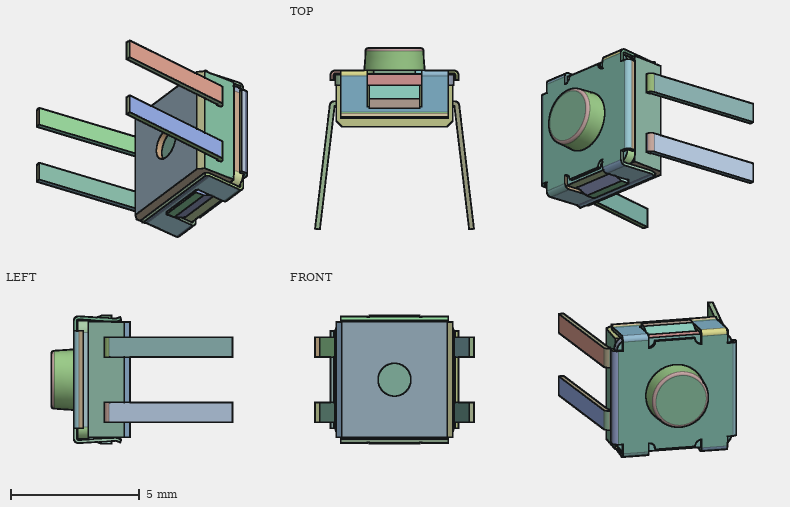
import cadquery as cq
import math


BASE_X = 4.55
BASE_Z = 4.5
BASE_HEIGHT = 1.62
BASE_CHAMFER = 0.225
RIM_SIZE = 4.62
RIM_TOP = 2.04
RIM_CORNER_RADIUS = 0.47

RECESS_DIAMETER = 1.28
RECESS_DEPTH = 0.26

BUTTON_TOP = 3.07
BUTTON_TOP_RADIUS = 1.125
BUTTON_EDGE_ROUND = 0.12
BUTTON_DRAFT = 4.0

COVER_TOP = 2.2
COVER_THICKNESS = 0.13
COVER_BEND_RADIUS = 0.2
COVER_X = 5.0
SIDE_FLANGE_WIDTH = 3.8
SIDE_FLANGE_BOTTOM = 1.82
CLIP_SPAN = 4.95
CLIP_WIDTH = 4.2
CLIP_LEAN = 3.6
CLIP_LEG_LENGTH = 1.415
LIP_FLARE = 20
LIP_BEND_RADIUS = 0.12
LIP_LENGTH = 0.155

WINDOW_WIDTH = 2.12
WINDOW_BOTTOM = 0.78
NOTCH_FLOOR = 2.2
RELIEF_RADIUS = 0.26

WEDGE_WIDTH = 1.97
WEDGE_SPAN = 5.0
WEDGE_CREST = 1.1
WEDGE_BOTTOM = 0.72

LEG_SPAN = 6.2
LEG_TIP = -4.0
LEG_PITCH = 2.54
LEG_WIDTH = 0.78
LEG_THICKNESS = 0.2
LEG_TOP = 1.0
LEG_SPLAY = 6.8


SHARP_BEND = 1e-6


def point_at(center, reach, angle):
    return center[0] + reach * math.cos(angle), center[1] + reach * math.sin(angle)


def strip_outline(plane, start, thickness, steps):
    """Outline of a bent strip that starts at `start`, heading along the plane's first axis.

    The walk follows the strip's outer face. Each step is (length, turn, radius): a straight
    run, then a bend of `turn` degrees (positive turns away from the outer face) with the
    given outer-face radius.
    """
    u, v = start
    heading = 0.0
    outer = [("start", (u, v))]
    inner = [("start", (u, v - thickness))]

    for length, turn, radius in steps:
        u, v = point_at((u, v), length, heading)
        normal = heading + math.pi / 2
        outer.append(("line", (u, v)))
        inner.append(("line", point_at((u, v), -thickness, normal)))
        if turn == 0:
            continue
        outer_reach = math.copysign(radius, turn)
        inner_reach = outer_reach - thickness
        center = point_at((u, v), -outer_reach, normal)
        sweep = math.radians(turn)
        angles = [normal - sweep / 2, normal - sweep]
        outer.append(("arc", *[point_at(center, outer_reach, angle) for angle in angles]))
        if abs(inner_reach) > SHARP_BEND:
            inner.append(("arc", *[point_at(center, inner_reach, angle) for angle in angles]))
        u, v = outer[-1][-1]
        heading -= sweep

    sketch = cq.Workplane(plane).moveTo(*start)
    for kind, *points in outer[1:]:
        sketch = sketch.lineTo(*points[0]) if kind == "line" else sketch.threePointArc(*points)
    sketch = sketch.lineTo(*inner[-1][-1])
    for index in range(len(inner) - 1, 0, -1):
        kind, *points = inner[index]
        before = inner[index - 1][-1]
        sketch = sketch.lineTo(*before) if kind == "line" else sketch.threePointArc(points[0], before)
    return sketch.close()


SIDE_PLANE = cq.Plane(origin=(0, 0, 0), xDir=(1, 0, 0), normal=(0, 0, 1))
CLIP_PLANE = cq.Plane(origin=(0, 0, 0), xDir=(0, 0, 1), normal=(-1, 0, 0))


def slab(x_size, z_size, y_low, y_high):
    height = y_high - y_low
    return cq.Workplane("XY").box(x_size, height, z_size).translate((0, y_low + height / 2, 0))


def y_cylinder(diameter, y_low, y_high):
    return cq.Workplane("XZ", origin=(0, y_low, 0)).circle(diameter / 2).extrude(y_low - y_high)


def both_sides(half, mirror_plane):
    return half.union(half.mirror(mirror_plane))


def make_base():
    lower = slab(BASE_X, BASE_Z, 0, BASE_HEIGHT).faces("<Y").edges("|Z").chamfer(BASE_CHAMFER)
    rim = slab(RIM_SIZE, RIM_SIZE, BASE_HEIGHT, RIM_TOP).edges("|Y").fillet(RIM_CORNER_RADIUS)
    return lower.union(rim).cut(y_cylinder(RECESS_DIAMETER, 0, RECESS_DEPTH))


def make_wedges():
    wedge = (
        cq.Workplane(CLIP_PLANE)
        .moveTo(0, BASE_HEIGHT)
        .lineTo(RIM_SIZE / 2, BASE_HEIGHT)
        .lineTo(WEDGE_SPAN / 2, WEDGE_CREST)
        .lineTo(WEDGE_SPAN / 2, WEDGE_BOTTOM)
        .lineTo(0, WEDGE_BOTTOM)
        .close()
        .extrude(WEDGE_WIDTH / 2, both=True)
    )
    return both_sides(wedge, "XY")


def make_button():
    taper = math.tan(math.radians(BUTTON_DRAFT))
    foot_radius = BUTTON_TOP_RADIUS + (BUTTON_TOP - BASE_HEIGHT) * taper
    button = (
        cq.Workplane(CLIP_PLANE)
        .moveTo(0, BASE_HEIGHT)
        .lineTo(foot_radius, BASE_HEIGHT)
        .lineTo(BUTTON_TOP_RADIUS, BUTTON_TOP)
        .lineTo(0, BUTTON_TOP)
        .close()
        .revolve(360, (0, 0, 0), (0, 1, 0))
    )
    return button.faces(">Y").edges().fillet(BUTTON_EDGE_ROUND)


def make_side_flanges():
    plate_run = COVER_X / 2 - COVER_BEND_RADIUS
    drop = COVER_TOP - COVER_BEND_RADIUS - SIDE_FLANGE_BOTTOM
    steps = [(plate_run, 90, COVER_BEND_RADIUS), (drop, 0, 0)]
    flange = strip_outline(SIDE_PLANE, (0, COVER_TOP), COVER_THICKNESS, steps)
    return both_sides(flange.extrude(SIDE_FLANGE_WIDTH / 2, both=True), "YZ")


def make_clips():
    plate_run = CLIP_SPAN / 2 - COVER_BEND_RADIUS
    steps = [
        (plate_run, 90 + CLIP_LEAN, COVER_BEND_RADIUS),
        (CLIP_LEG_LENGTH, -CLIP_LEAN - LIP_FLARE, LIP_BEND_RADIUS),
        (LIP_LENGTH, 0, 0),
    ]
    clip = strip_outline(CLIP_PLANE, (0, COVER_TOP), COVER_THICKNESS, steps)
    clip = clip.extrude(CLIP_WIDTH / 2, both=True)
    return both_sides(clip, "XY")


def make_bend_reliefs():
    """Cutters for the quarter-round reliefs at the two inner corners of the +Z notch."""
    corners = [(side * WINDOW_WIDTH / 2, 0, NOTCH_FLOOR) for side in (-1, 1)]
    disc = y_cylinder(2 * RELIEF_RADIUS, COVER_TOP - COVER_THICKNESS, COVER_TOP)
    discs = disc.translate(corners[0]).union(disc.translate(corners[1]))
    return discs.intersect(slab(WINDOW_WIDTH, CLIP_SPAN, WINDOW_BOTTOM, COVER_TOP))


def make_window_cutters():
    window_depth = CLIP_SPAN / 2
    window = slab(WINDOW_WIDTH, window_depth, WINDOW_BOTTOM, COVER_TOP)
    window = window.translate((0, 0, NOTCH_FLOOR + window_depth / 2))
    return both_sides(window.union(make_bend_reliefs()), "XY")


def make_cover():
    return make_side_flanges().union(make_clips()).cut(make_window_cutters())


def make_legs():
    splay = math.radians(LEG_SPLAY)
    bend_height = LEG_TOP - LEG_THICKNESS
    length = (bend_height - LEG_TIP) / math.cos(splay)
    bend_x = LEG_SPAN / 2 - LEG_THICKNESS * math.cos(splay) - length * math.sin(splay)
    root_x = BASE_X / 2 - LEG_THICKNESS
    steps = [(bend_x - root_x, 90 - LEG_SPLAY, LEG_THICKNESS), (length, 0, 0)]
    outline = strip_outline(SIDE_PLANE, (root_x, LEG_TOP), LEG_THICKNESS, steps)
    leg = outline.extrude(LEG_WIDTH / 2, both=True).translate((0, 0, LEG_PITCH / 2))
    return both_sides(both_sides(leg, "XY"), "YZ")


result = make_base().union(make_wedges()).union(make_button()).union(make_cover()).union(make_legs())